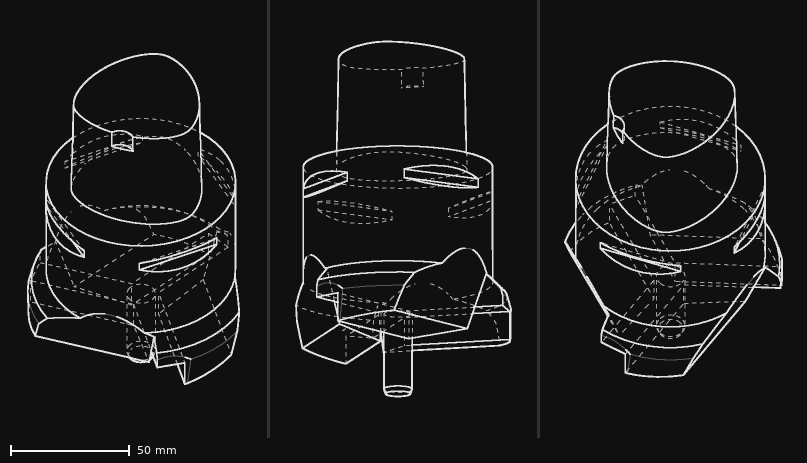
import cadquery as cq
import math


shank_height = 47.9
shank_base_radius = 27.6
shank_taper = 1.0
lobe_eccentricity = 2.2
outline_points = 48

notch_radius = 6.0
notch_floor_y = -21.9
notch_depth = 7.9

body_radius = 40.0
shoulder_z = -49.6
cone_end_radius = 46.1
cone_end_z = -55.9
rim_radius = 47.7
rim_z = -61.9
bottom_radius = 47.5
bottom_z = -75.6

groove_count = 4
groove_radius = 35.6
groove_z = -11.8
groove_floor_width = 3.6
groove_side_angle = 30

tooth_pitches = (123, 120, 117)
lead_offset = 4.7
seat_depth = 12.0
seat_top_z = -63.5
land_x = -46.7
gullet_foot_y = -30.1
gullet_foot_z = -72.7
gullet_angle = 17.5

pin_radius = 6.0
pin_bottom_z = shank_height - 146
pin_chamfer_height = 2.0
pin_chamfer_width = 0.7

reach = 116.8


def lobe_outline(mean_radius):
    """Three-lobed polygon curve with one lobe toward +Y."""
    points = []
    for index in range(outline_points):
        t = 2 * math.pi * index / outline_points
        along = mean_radius * math.cos(t) - lobe_eccentricity * (2 * math.cos(2 * t) - math.cos(4 * t))
        across = mean_radius * math.sin(t) + lobe_eccentricity * (2 * math.sin(2 * t) + math.sin(4 * t))
        points.append((across, -along))
    return points


def turn(shape, angle):
    return shape.rotate((0, 0, 0), (0, 0, 1), angle)


def make_shank():
    shank = (
        cq.Workplane("XY")
        .spline(lobe_outline(shank_base_radius), periodic=True).close()
        .workplane(offset=shank_height)
        .spline(lobe_outline(shank_base_radius - shank_taper), periodic=True).close()
        .loft(ruled=True)
    )
    notch = (
        cq.Workplane("XY", origin=(0, notch_floor_y - notch_radius, shank_height - notch_depth))
        .circle(notch_radius).extrude(notch_depth)
    )
    return shank.cut(notch)


def make_body():
    profile = [
        (0, 0),
        (body_radius, 0),
        (body_radius, shoulder_z),
        (cone_end_radius, cone_end_z),
        (rim_radius, rim_z),
        (bottom_radius, bottom_z),
        (0, bottom_z),
    ]
    return cq.Workplane("XZ").polyline(profile).close().revolve(360, (0, 0), (0, 1))


def make_groove():
    """Straight groove with flared sides, on the +X side."""
    depth = reach - groove_radius
    half_floor = groove_floor_width / 2
    half_mouth = half_floor + depth * math.tan(math.radians(groove_side_angle))
    profile = [
        (groove_radius, groove_z - half_floor),
        (reach, groove_z - half_mouth),
        (reach, groove_z + half_mouth),
        (groove_radius, groove_z + half_floor),
    ]
    return cq.Workplane("XZ").polyline(profile).close().extrude(reach / 2, both=True)


def make_gullet(pitch_to_next):
    """Bottom relief and sloped gullet behind the -X tooth, ending at the next tooth's leading face."""
    top_y = gullet_foot_y - reach * math.tan(math.radians(gullet_angle))
    profile = [
        (lead_offset - seat_depth, bottom_z),
        (gullet_foot_y, gullet_foot_z),
        (top_y, gullet_foot_z + reach),
        (-reach, gullet_foot_z + reach),
        (-reach, bottom_z),
    ]
    swept = cq.Workplane("YZ").polyline(profile).close().extrude(reach, both=True)
    ahead_of_next = (
        cq.Workplane("XY")
        .box(4 * reach, 2 * reach, 4 * reach, centered=(True, False, True))
        .translate((0, lead_offset, 0))
    )
    return swept.intersect(turn(ahead_of_next, pitch_to_next))


def make_seat():
    """Open insert seat in the -X tooth, running in to the axis."""
    return (
        cq.Workplane("XY", origin=(-reach, lead_offset - seat_depth, bottom_z))
        .rect(reach, seat_depth, centered=False)
        .extrude(seat_top_z - bottom_z)
    )


def make_land():
    """Flat on the outside of the -X tooth behind its cutting edge."""
    return (
        cq.Workplane("XY", origin=(land_x, 0, bottom_z))
        .rect(land_x, 2 * body_radius, centered=(False, True))
        .extrude(-bottom_z)
    )


def make_pin():
    return (
        cq.Workplane("XY", origin=(0, 0, pin_bottom_z))
        .circle(pin_radius).extrude(seat_top_z - pin_bottom_z)
        .faces("<Z").chamfer(pin_chamfer_height, pin_chamfer_width)
    )


body = make_body()

for index in range(groove_count):
    body = body.cut(turn(make_groove(), 45 + index * 360 / groove_count))

tooth_angle = 0
for pitch in tooth_pitches:
    for cutter in (make_gullet(pitch), make_seat(), make_land()):
        body = body.cut(turn(cutter, tooth_angle))
    tooth_angle += pitch

result = body.union(make_shank()).union(make_pin())